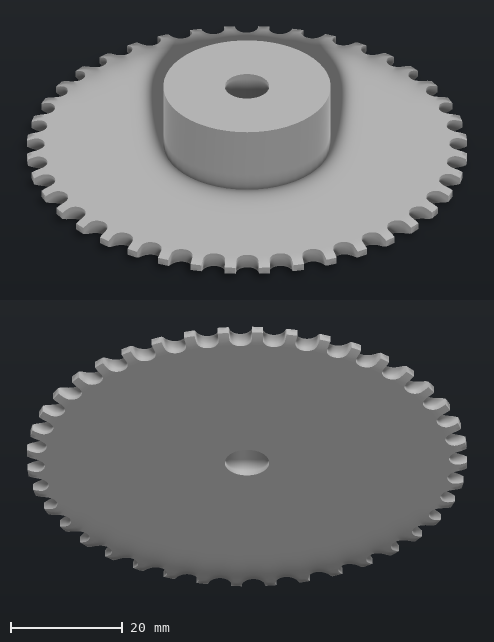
import cadquery as cq
import math

tooth_count = 40
outer_diameter = 78.9
plate_thickness = 2.7
pitch_diameter = 76.45

roller_diameter = 4.0
gap_overrun = 0.8

relief_start_radius = 36.6
tip_thickness = 1.3

hub_diameter = 30.0
bore_diameter = 8.0
overall_height = 15.0

outer_radius = outer_diameter / 2
pitch_radius = pitch_diameter / 2
tooth_angle = 360 / tooth_count


def relieved_plate():
    """Revolve the plate section, with both faces curving in towards the tooth tips."""
    relief_length = outer_radius - relief_start_radius
    relief_depth = (plate_thickness - tip_thickness) / 2
    relief_arc_radius = (relief_length**2 + relief_depth**2) / (2 * relief_depth)
    return (
        cq.Workplane("XZ")
        .lineTo(relief_start_radius, 0)
        .radiusArc((outer_radius, relief_depth), -relief_arc_radius)
        .lineTo(outer_radius, plate_thickness - relief_depth)
        .radiusArc((relief_start_radius, plate_thickness), -relief_arc_radius)
        .lineTo(0, plate_thickness)
        .close()
        .revolve(360, (0, 0, 0), (0, 1, 0))
    )


def roller_gaps():
    """Gaps open at the rim: round roller seats with flaring side walls."""
    seat_radius = roller_diameter / 2
    flare = math.radians(tooth_angle / 2)
    tangent_x = pitch_radius - seat_radius * math.sin(flare)
    tangent_y = seat_radius * math.cos(flare)
    mouth_x = outer_radius + gap_overrun
    mouth_y = tangent_y + (mouth_x - tangent_x) * math.tan(flare)
    gap = (
        cq.Workplane("XY")
        .moveTo(mouth_x, mouth_y)
        .lineTo(tangent_x, tangent_y)
        .threePointArc((pitch_radius - seat_radius, 0), (tangent_x, -tangent_y))
        .lineTo(mouth_x, -mouth_y)
        .close()
        .extrude(plate_thickness)
        .val()
    )
    gaps = cq.Workplane("XY")
    for index in range(tooth_count):
        angle = (index + 0.5) * tooth_angle
        gaps.add(gap.rotate((0, 0, 0), (0, 0, 1), angle))
    return gaps.combine()


def hub():
    return cq.Workplane("XY").circle(hub_diameter / 2).extrude(overall_height)


def shaft_bore():
    return cq.Workplane("XY").circle(bore_diameter / 2).extrude(overall_height)


result = relieved_plate().cut(roller_gaps()).union(hub()).cut(shaft_bore())